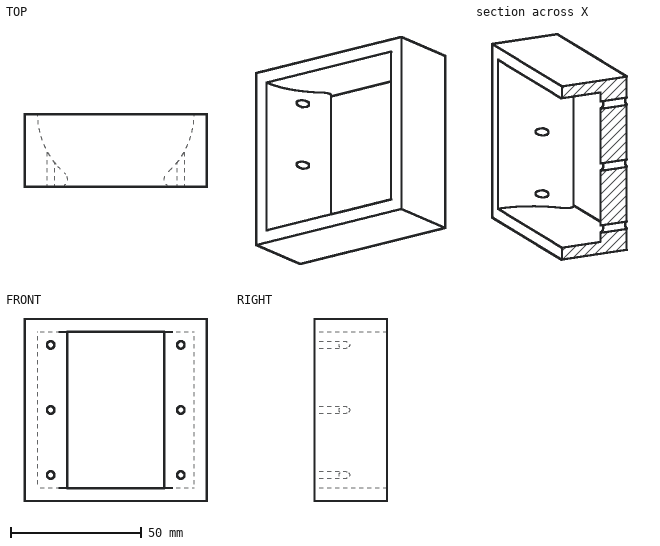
import cadquery as cq

side = 70.0
depth = 28.0
wall = 5.0

bore_radius = side / 2 - wall
cavity_height = side - 2 * wall
lip_radius = 3.0

hole_diameter = 2.8
hole_pitch_x = 50.0
hole_pitch_z = hole_pitch_x / 2
holes_per_column = 3


def make_block():
    return cq.Workplane("XY").box(side, depth, side).translate((0, depth / 2, 0))


def make_cavity():
    """Cylinder along Z; it breaks through the front face as a window."""
    return (
        cq.Workplane("XY", origin=(0, depth, -cavity_height / 2))
        .circle(bore_radius)
        .extrude(cavity_height)
    )


def round_window_lips(body):
    """Round the two upright edges where the bore meets the front face."""
    inside_front = cq.selectors.BoxSelector(
        (-bore_radius, -wall, -side / 2),
        (bore_radius, wall, side / 2),
    )
    return body.edges("|Z").edges(inside_front).fillet(lip_radius)


def make_screw_holes():
    """Pins reaching from the front face through to the cavity."""
    middle = (holes_per_column - 1) / 2
    centres = [
        (column * hole_pitch_x / 2, (row - middle) * hole_pitch_z)
        for column in (-1, 1)
        for row in range(holes_per_column)
    ]
    return (
        cq.Workplane("XZ")
        .pushPoints(centres)
        .circle(hole_diameter / 2)
        .extrude(-depth / 2)
    )


frame = round_window_lips(make_block().cut(make_cavity()))
result = frame.cut(make_screw_holes())